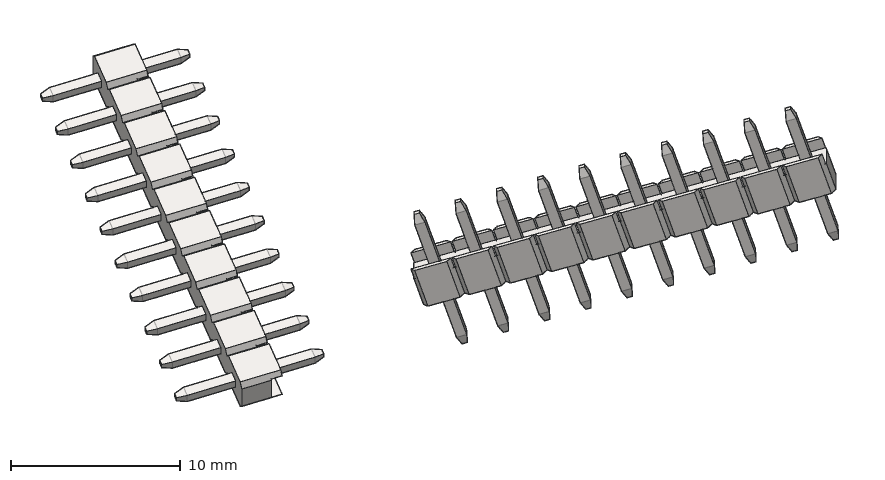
import cadquery as cq

pin_count = 10
pitch = 2.55

body_length = pin_count * pitch
body_depth = 2.55
body_height = 2.5
corner_width = 0.28
corner_height = 0.35
recess_depth = 0.69
flange_thickness = 0.3

pin_width = 0.64
pin_tip_width = 0.33
pin_tip_length = 0.6
pin_front_reach = 3.63
pin_length = 9.2
pin_offset = -0.1

front_y = -body_depth / 2
back_y = body_depth / 2
pin_front_y = front_y - pin_front_reach
pin_back_y = pin_front_y + pin_length
cell_centers = [(i - (pin_count - 1) / 2) * pitch for i in range(pin_count)]


def make_cell(center_x):
    """Octagonal block; the bevels of two neighbours form a V notch."""
    half_width = pitch / 2
    half_height = body_height / 2
    flat_x = half_width - corner_width
    flat_z = half_height - corner_height
    outline = [
        (-flat_x, -half_height),
        (flat_x, -half_height),
        (half_width, -flat_z),
        (half_width, flat_z),
        (flat_x, half_height),
        (-flat_x, half_height),
        (-half_width, flat_z),
        (-half_width, -flat_z),
    ]
    return (
        cq.Workplane("XZ", origin=(center_x, back_y, 0))
        .polyline(outline)
        .close()
        .extrude(body_depth)
    )


def make_recess():
    """Channel along the whole back face, between the two flanges."""
    return cq.Workplane("XY").box(
        body_length, recess_depth, body_height - 2 * flange_thickness
    ).translate((0, back_y - recess_depth / 2, 0))


def make_pin(center_x):
    """Square pin with a tapered tip at each end."""
    x = center_x + pin_offset
    shank_length = pin_length - 2 * pin_tip_length
    shank_front_y = pin_front_y + pin_tip_length
    shank_back_y = pin_back_y - pin_tip_length
    shank = (
        cq.Workplane("XZ", origin=(x, shank_back_y, 0))
        .rect(pin_width, pin_width)
        .extrude(shank_length)
    )
    front_tip = make_tip(x, shank_front_y, pin_tip_length)
    back_tip = make_tip(x, shank_back_y, -pin_tip_length)
    return shank.union(front_tip).union(back_tip)


def make_tip(x, base_y, forward_length):
    """Square frustum growing toward -Y, or toward +Y for a negative length."""
    return (
        cq.Workplane("XZ", origin=(x, base_y, 0))
        .rect(pin_width, pin_width)
        .workplane(offset=forward_length)
        .rect(pin_tip_width, pin_tip_width)
        .loft(ruled=True)
    )


body = make_cell(cell_centers[0])
for cell_x in cell_centers[1:]:
    body = body.union(make_cell(cell_x))
body = body.clean().cut(make_recess())

result = body
for cell_x in cell_centers:
    result = result.union(make_pin(cell_x))